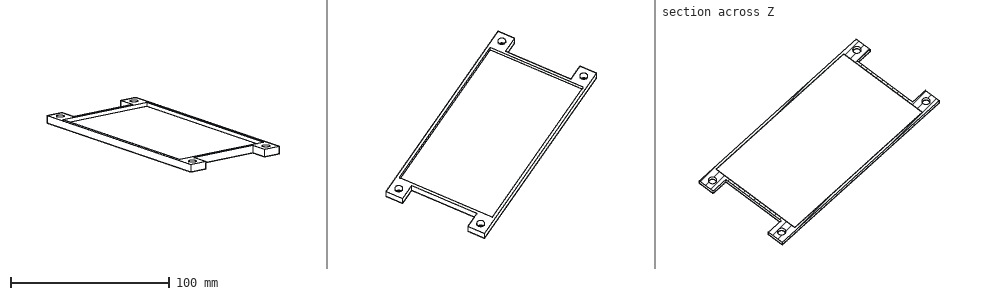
import cadquery as cq

length = 148.0
width = 71.0
thickness = 5.0
ear_size = 12.0
wall = 2.0
pocket_depth = 2.5
hole_diameter = 5.0

body_length = length - 2 * ear_size
hole_span_x = length - ear_size
hole_span_y = width - ear_size


def make_tray_body():
    """Solid plate between the two pairs of ears, with its base at Z = 0."""
    return cq.Workplane("XY").box(body_length, width, thickness, centered=(True, True, False))


def make_ears():
    """Four square mounting ears, one at each corner of the outer rectangle."""
    return (
        cq.Workplane("XY")
        .rect(hole_span_x, hole_span_y, forConstruction=True)
        .vertices()
        .rect(ear_size, ear_size)
        .extrude(thickness)
    )


def make_pocket():
    """Rectangular recess, open at the top, that leaves an even rim wall."""
    pocket_length = body_length - 2 * wall
    pocket_width = width - 2 * wall
    return (
        cq.Workplane("XY", origin=(0, 0, thickness - pocket_depth))
        .rect(pocket_length, pocket_width)
        .extrude(pocket_depth)
    )


def make_mounting_holes():
    """Through holes centred in the ears."""
    return (
        cq.Workplane("XY")
        .rect(hole_span_x, hole_span_y, forConstruction=True)
        .vertices()
        .circle(hole_diameter / 2)
        .extrude(thickness)
    )


result = make_tray_body().union(make_ears()).cut(make_pocket()).cut(make_mounting_holes())